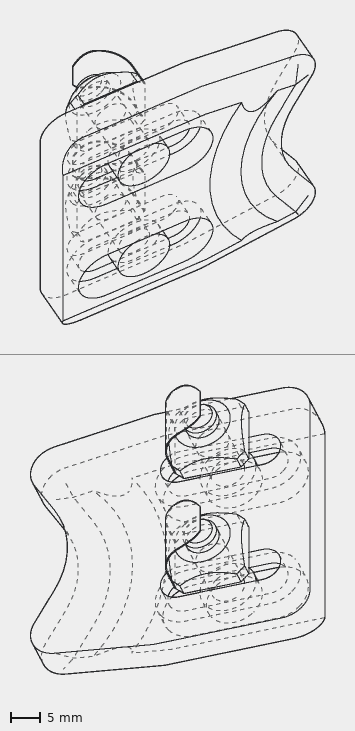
import cadquery as cq
import math


plate_size = 50.0
half_size = plate_size / 2
corner_radius = 5.0
taper_start_y = 3.0
horn_radius = 5.0
horn_z = 17.5
horn_y = half_size - horn_radius
scoop_radius = 17.5
scoop_bottom_y = 18.4
scoop_y = scoop_bottom_y + scoop_radius

edge_thickness = 6.0
plate_thickness = 8.15
bevel_width = 5.0
bevel_height = plate_thickness - edge_thickness
bevel_slope = bevel_height / bevel_width

rib_height = 0.95
rib_inner_radius = 26.5
rib_outer_radius = 32.5
rib_top_x = plate_thickness + rib_height

bolt_y = -9.0
bolt_pitch = 25.0
bolt_heights = (-bolt_pitch / 2, bolt_pitch / 2)
slot_length = 21.5
slot_width = 6.5
slot_floor_x = 4.0
head_clearance = 0.5

shank_radius = 3.0
head_radius = 5.0
head_height = 3.5
bolt_tip_x = -12.0
tip_radius = 2.5
tip_length = 0.75

nut_front_x = -4.35
nut_thickness = 5.5
nut_width = 13.0
nut_corner = 1.4
nut_back_x = nut_front_x - nut_thickness
nut_half = nut_width / 2
nut_face_radius = 5.0
leaf_thickness = 0.2
leaf_width = 10.0
leaf_tail = 1.4
leaf_outer_radius = nut_half + leaf_thickness
leaf_bend_x = -8.5
leaf_round_centre = 2.9


def polar(center_y, radius, angle, center_z=0.0):
    """Point (y, z) on a circle, with the angle measured from +Y towards +Z."""
    return (center_y + radius * math.cos(angle), center_z + radius * math.sin(angle))


horn_to_scoop = math.hypot(scoop_y - horn_y, horn_z)
flank_angle = math.acos((horn_radius + scoop_radius) / horn_to_scoop) - math.atan2(horn_z, scoop_y - horn_y)
horn_flank = polar(horn_y, horn_radius, flank_angle, horn_z)
scoop_flank = polar(scoop_y, scoop_radius, flank_angle + math.pi)

taper_start = (taper_start_y, half_size)
start_to_horn = math.hypot(horn_y - taper_start_y, half_size - horn_z)
slant_fall = (math.atan2(half_size - horn_z, horn_y - taper_start_y)
              - math.asin(horn_radius / start_to_horn))
slant_angle = math.pi / 2 - slant_fall
horn_slant = polar(horn_y, horn_radius, slant_angle, horn_z)
horn_middle = polar(horn_y, horn_radius, (slant_angle + flank_angle) / 2, horn_z)


def below(point):
    """Mirror a (y, z) point into the lower half of the outline."""
    return (point[0], -point[1])


def plate_blank():
    """Outline extruded to the height of the rib top."""
    blank = (
        cq.Workplane("YZ")
        .moveTo(-half_size, -half_size)
        .lineTo(*below(taper_start))
        .lineTo(*below(horn_slant))
        .threePointArc(below(horn_middle), below(horn_flank))
        .lineTo(*below(scoop_flank))
        .threePointArc((scoop_bottom_y, 0), scoop_flank)
        .lineTo(*horn_flank)
        .threePointArc(horn_middle, horn_slant)
        .lineTo(*taper_start)
        .lineTo(-half_size, half_size)
        .close()
        .extrude(rib_top_x)
    )
    return blank.edges("|X and <Y").fillet(corner_radius)


def thickness_envelope():
    """Flat slab as thick as the plate, plus the domed ring around the scoop axis."""
    slab = cq.Workplane("YZ").rect(2 * plate_size, 2 * plate_size).extrude(plate_thickness)
    rib_middle_radius = (rib_inner_radius + rib_outer_radius) / 2
    dome = (
        cq.Workplane("XY", origin=(0, scoop_y, 0))
        .moveTo(0, -rib_inner_radius)
        .lineTo(plate_thickness, -rib_inner_radius)
        .threePointArc((rib_top_x, -rib_middle_radius), (plate_thickness, -rib_outer_radius))
        .lineTo(0, -rib_outer_radius)
        .close()
        .revolve(360, (0, 0, 0), (1, 0, 0))
    )
    return slab.union(dome)


cut_height = bevel_height + 2 * rib_height
cut_width = cut_height / bevel_slope


def straight_bevel(start, end):
    """Bevel along a straight edge; the plate lies on the side of X cross the edge direction."""
    dy, dz = end[0] - start[0], end[1] - start[1]
    section = cq.Plane(origin=(edge_thickness, *start), xDir=(0, -dz, dy), normal=(0, dy, dz))
    return (
        cq.Workplane(section)
        .polyline([(0, 0), (cut_width, cut_height), (-cut_width, cut_height), (-cut_width, 0)])
        .close()
        .extrude(math.hypot(dy, dz))
    )


def horn_bevel():
    """Conical bevel around the horn, between its two tangent points."""
    section = cq.Plane(
        origin=(edge_thickness, horn_y, horn_z),
        xDir=(0, math.cos(flank_angle), math.sin(flank_angle)),
        normal=(0, math.sin(flank_angle), -math.cos(flank_angle)),
    )
    return (
        cq.Workplane(section)
        .polyline([
            (horn_radius, 0),
            (0, horn_radius * bevel_slope),
            (0, cut_height),
            (2 * horn_radius, cut_height),
            (2 * horn_radius, 0),
        ])
        .close()
        .revolve(math.degrees(slant_angle - flank_angle), (0, 0, 0), (0, 1, 0))
    )


def scoop_bevel():
    """Cone that flares the scoop, limited to its arc by the flanks it is tangent to."""
    section = cq.Plane(
        origin=(edge_thickness, scoop_y, 0),
        xDir=(0, -math.cos(flank_angle), -math.sin(flank_angle)),
        normal=(0, -math.sin(flank_angle), math.cos(flank_angle)),
    )
    return (
        cq.Workplane(section)
        .polyline([(0, 0), (scoop_radius, 0), (scoop_radius + cut_width, cut_height), (0, cut_height)])
        .close()
        .revolve(math.degrees(-2 * flank_angle), (0, 0, 0), (0, 1, 0))
    )


def make_slot(z):
    """Through slot for the shank with a wider pocket for the head."""
    widening = 2 * (head_radius + head_clearance) - slot_width
    through = (
        cq.Workplane("YZ").center(bolt_y, z).slot2D(slot_length, slot_width).extrude(rib_top_x)
    )
    pocket = (
        cq.Workplane("YZ", origin=(slot_floor_x, 0, 0))
        .center(bolt_y, z)
        .slot2D(slot_length + widening, slot_width + widening)
        .extrude(rib_top_x)
    )
    return through.union(pocket)


def make_plate():
    """Slotted plate with bevelled rim and domed rib."""
    body = plate_blank().intersect(thickness_envelope())
    upper_bevels = [
        straight_bevel(taper_start, (-half_size, half_size)),
        straight_bevel(horn_slant, taper_start),
        horn_bevel(),
        straight_bevel(scoop_flank, horn_flank),
    ]
    for bevel in upper_bevels:
        body = body.cut(bevel).cut(bevel.mirror("XY"))
    body = body.cut(scoop_bevel())
    for z in bolt_heights:
        body = body.cut(make_slot(z))
    return body


def make_bolt(z):
    """Bolt with a plain cylindrical head and a chamfered tip."""
    shank_end_x = bolt_tip_x + tip_length
    head_top_x = slot_floor_x + head_height
    return (
        cq.Workplane("XY")
        .polyline([
            (bolt_tip_x, 0),
            (bolt_tip_x, tip_radius),
            (shank_end_x, shank_radius),
            (slot_floor_x, shank_radius),
            (slot_floor_x, head_radius),
            (head_top_x, head_radius),
            (head_top_x, 0),
        ])
        .close()
        .revolve(360, (0, 0, 0), (1, 0, 0))
        .translate((0, bolt_y, z))
    )


def nut_block():
    """Square nut with cut corners and a 45 degree cone on its back, on the X axis."""
    block = (
        cq.Workplane("YZ", origin=(nut_back_x, 0, 0))
        .rect(nut_width, nut_width)
        .extrude(nut_thickness)
        .edges("|X")
        .chamfer(nut_corner)
    )
    cone = (
        cq.Workplane("XY")
        .polyline([
            (nut_back_x, 0),
            (nut_back_x, nut_face_radius),
            (nut_front_x, nut_face_radius + nut_thickness),
            (nut_front_x, 0),
        ])
        .close()
        .revolve(360, (0, 0, 0), (1, 0, 0))
    )
    return block.intersect(cone)


def spring_leaf():
    """Thin strip on the +Y face of the nut, bent a quarter turn behind the bolt tip."""
    diagonal = math.sqrt(0.5)
    leaf_back_x = leaf_bend_x - leaf_outer_radius
    strip = (
        cq.Workplane("XY", origin=(0, 0, -leaf_width / 2))
        .moveTo(nut_front_x, nut_half)
        .lineTo(nut_front_x, leaf_outer_radius)
        .lineTo(leaf_bend_x, leaf_outer_radius)
        .threePointArc(
            (leaf_bend_x - leaf_outer_radius * diagonal, leaf_outer_radius * diagonal), (leaf_back_x, 0)
        )
        .lineTo(leaf_back_x, -leaf_tail)
        .lineTo(leaf_back_x + leaf_thickness, -leaf_tail)
        .lineTo(leaf_back_x + leaf_thickness, 0)
        .threePointArc((leaf_bend_x - nut_half * diagonal, nut_half * diagonal), (leaf_bend_x, nut_half))
        .close()
        .extrude(leaf_width)
    )
    half_width = leaf_width / 2
    rounded_end = (
        cq.Workplane("YZ", origin=(leaf_back_x, 0, 0))
        .moveTo(leaf_outer_radius, -half_width)
        .lineTo(leaf_outer_radius, half_width)
        .lineTo(leaf_round_centre, half_width)
        .threePointArc((leaf_round_centre - half_width, 0), (leaf_round_centre, -half_width))
        .close()
        .extrude(nut_front_x - leaf_back_x)
    )
    return strip.intersect(rounded_end)


def make_nut(z):
    """Bored nut and its spring leaf as one body."""
    bore = cq.Workplane("YZ", origin=(nut_back_x, 0, 0)).circle(shank_radius).extrude(nut_thickness)
    return nut_block().cut(bore).union(spring_leaf()).translate((0, bolt_y, z))


plate = make_plate()
bolts = [make_bolt(z) for z in bolt_heights]
nuts = [make_nut(z) for z in bolt_heights]

result = cq.Compound.makeCompound(
    [plate.val()] + [bolt.val() for bolt in bolts] + [nut.val() for nut in nuts]
)